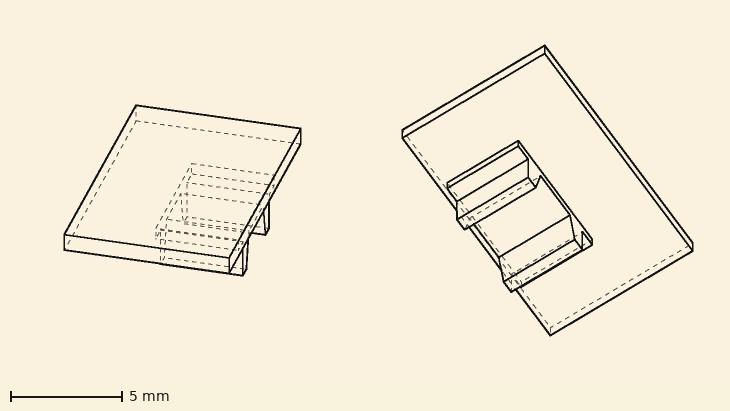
import cadquery as cq

plate_width = 7.7
plate_length = 12.0
plate_thickness = 0.8

pad_width = 3.85
pad_length = 6.0
pad_thickness = 0.54
pad_edge_inset = 0.42

total_height = 3.13
leg_height = total_height - plate_thickness - pad_thickness
leg_outer_span = 4.4
leg_root_thickness = 1.01
leg_tip_thickness = 0.62

pad_center_x = plate_width / 2 - pad_edge_inset - pad_width / 2
pad_top = -plate_thickness
pad_bottom = pad_top - pad_thickness
leg_bottom = pad_bottom - leg_height


def block(width, length, height, center_x, top):
    """Box centred on Y that hangs down from the given top level."""
    return cq.Workplane("XY").box(width, length, height).translate((center_x, 0, top - height / 2))


def leg(side):
    """Leg on the +Y (side=1) or -Y (side=-1) half: upright outer face, sloped inner face."""
    outer = leg_outer_span / 2
    profile = [
        (side * outer, pad_bottom),
        (side * outer, leg_bottom),
        (side * (outer - leg_tip_thickness), leg_bottom),
        (side * (outer - leg_root_thickness), pad_bottom),
    ]
    start_x = pad_center_x - pad_width / 2
    return cq.Workplane("YZ", origin=(start_x, 0, 0)).polyline(profile).close().extrude(pad_width)


result = block(plate_width, plate_length, plate_thickness, 0, 0)
result = result.union(block(pad_width, pad_length, pad_thickness, pad_center_x, pad_top))
for leg_side in (1, -1):
    result = result.union(leg(leg_side))